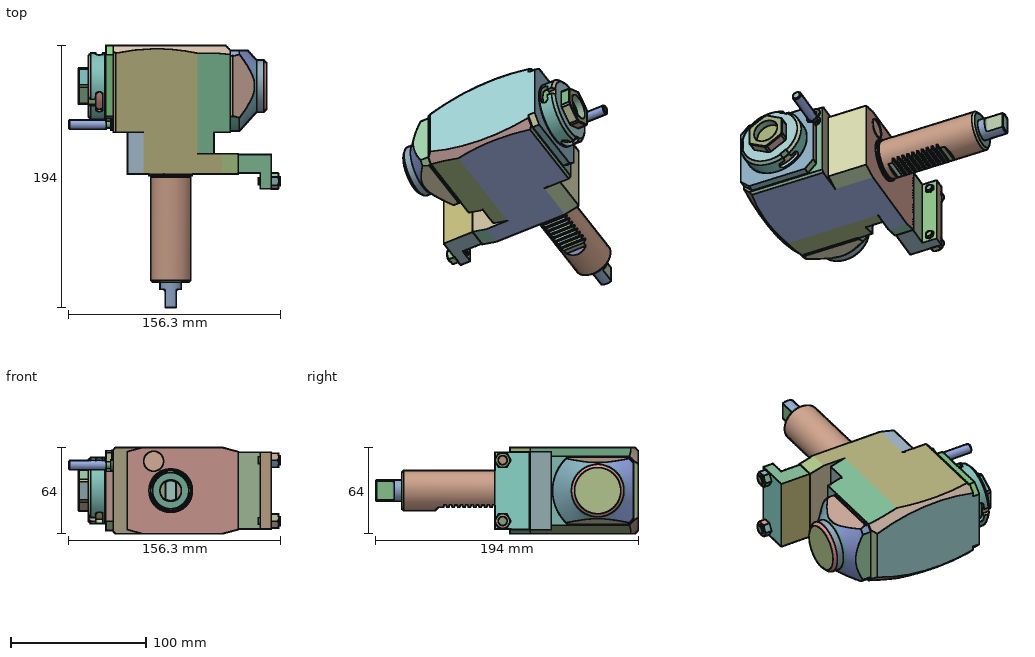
import cadquery as cq
import math


HALF_HEIGHT = 32.0
BODY_LEFT = -42.5
BODY_RIGHT = 44.0
BODY_FRONT = 30.8
BODY_REAR = 95.0
LEFT_EDGE_CHAMFER = 1.7
RIGHT_REAR_CHAMFER = 3.5

NECK_HALF_WIDTH = 32.0
FLANGE_RIGHT = 49.9
FLANGE_DEPTH = 15.1
BEVEL_LENGTH = 11.8
BEVEL_ANGLE = 15.0
BEVEL_DROP = BEVEL_LENGTH * math.tan(math.radians(BEVEL_ANGLE))

SLOPE_START = 20.0
GROOVE_WIDTH = 1.7
GROOVE_DEPTH = 0.5

RELIEF_X = -10.5
RELIEF_AXIS_Z = 108.6
RELIEF_MIDDLE = 2.5

SPINDLE_Y = 65.0
CAP_RADIUS = 33.4
CAP_CONE_START = 50.8
CAP_CONE_END = 61.9
CAP_CONE_END_RADIUS = 21.0
CAP_NOSE_START = 63.5
CAP_REAR = 91.4
CAP_NOSE_RADIUS = 19.4
CAP_END = 71.0
CAP_END_CHAMFER = 2.3

PLATE_LEFT = -48.0
PLATE_FRONT = 35.7
PLATE_HALF_HEIGHT = 29.5
PLATE_CORNER = 6.8
NOTCH_RADIUS = 4.7
NOTCH_CORNER = 1.5

NUT_LEFT = -61.1
NUT_RADIUS = 24.6
NUT_CHAMFER = 2.1
NUT_BACK_CHAMFER = 0.8
NUT_SLOT_COUNT = 3
NUT_SLOT_WIDTH = 5.6
NUT_SLOT_DEPTH = 3.0
NUT_POCKET_X = -52.8
NUT_POCKET_WIDTH = 5.5
NUT_POCKET_DEPTH = 3.3
NUT_POCKET_LENGTH = 16.9
HEX_LEFT = -68.3
HEX_ACROSS_FLATS = 27.2
HEX_CORNER_RADIUS = 15.1
HEX_CHAMFER = 0.5
BORE_RADIUS = 9.5
BORE_DEPTH = 5.8

PIN_Y = 36.5
PIN_Z = 18.8
PIN_LEFT = -75.3
PIN_RADIUS = 3.5
PIN_CHAMFER = 0.8
PIN_NECK_START = -47.7
PIN_NECK_RADIUS = 2.5
PIN_COLLAR_RADIUS = 4.0
PIN_COLLAR_LENGTH = 2.0
PLUG_Z = 26.0
PLUG_RADIUS = 3.9
PLUG_HEIGHT = 1.2
PLUG_HOLE_RADIUS = 1.5

COLLAR_RADIUS = 16.1
COLLAR_LENGTH = 1.4
SHANK_RADIUS = 15.0
SHANK_LENGTH = 80.0
SHANK_CHAMFER = 1.5
UNDERCUT_RADIUS = 14.5
UNDERCUT_LENGTH = 1.0
TANG_RADIUS = 8.0
TANG_SHOULDER = 85.4
TANG_END = 99.0
TANG_THICKNESS = 8.3
TANG_CHAMFER = 0.5
TANG_FILLET = 1.2

RACK_START = 7.0
RACK_END = 52.8
RACK_RUNOUT = 2.5
TOOTH_TIP = 12.5
TOOTH_ROOT = 10.5
FIRST_GAP = 11.8
GAP_COUNT = 10
GAP_SPAN = 35.9
TOOTH_PITCH = GAP_SPAN / (GAP_COUNT - 1)
GAP_ROOT_WIDTH = 1.2
GAP_TOP_WIDTH = 2.7

ARM_HALF_HEIGHT = 28.5
ARM_RIGHT = 74.5
ARM_FRONT = 0.5
ARM_REAR = 14.5
LUG_LEFT = 66.2
LUG_FRONT = -11.0
SCREW_Y = -5.2
SCREW_Z = 22.5
SCREW_RADIUS = 3.3
SCREW_LEFT = 64.8
SCREW_RIGHT = 81.0
SCREW_TIP_RADIUS = 2.5
SCREW_RECESS_DEPTH = 1.0
SCREW_NUT_FLATS = 10.5
SCREW_NUT_THICKNESS = 5.2
SCREW_NUT_RADIUS = 6.0
SCREW_NUT_CHAMFER = 0.5

RECESS_X = -12.6
RECESS_Z = 21.7
RECESS_RADIUS = 7.4
RECESS_DEPTH = 0.8

FAR = 194.0


def block(x_range, y_range, z_range):
    """Box between pairs of limits."""
    (x0, x1), (y0, y1), (z0, z1) = x_range, y_range, z_range
    box = cq.Workplane("XY").box(x1 - x0, y1 - y0, z1 - z0, centered=False)
    return box.translate((x0, y0, z0))


def across_x(x, y=0, z=0):
    """Workplane facing +X, with local axes along Y and Z."""
    return cq.Workplane("YZ", origin=(x, y, z))


def rod_x(x0, x1, radius, y, z):
    """Cylinder along X."""
    return across_x(x0, y, z).circle(radius).extrude(x1 - x0)


def rod_y(depth0, depth1, radius, x=0, z=0):
    """Cylinder along -Y between two depths in front of the flange face."""
    return cq.Workplane("XZ", origin=(x, -depth0, z)).circle(radius).extrude(depth1 - depth0)


def mirrored_pair(solid):
    """A solid together with its mirror image across Z = 0."""
    return solid.union(solid.mirror("XY"))


def slope_z(x):
    """Height of the sloped top face at a given X."""
    return HALF_HEIGHT - (x - SLOPE_START) * math.tan(math.radians(BEVEL_ANGLE))


def slope_cut():
    """Wedges above and below the sloped faces, with a shallow groove next to the cap."""
    wedge = (
        cq.Workplane("XZ", origin=(0, BODY_REAR, 0))
        .polyline([
            (SLOPE_START, HALF_HEIGHT),
            (BODY_RIGHT, slope_z(BODY_RIGHT)),
            (BODY_RIGHT, slope_z(BODY_RIGHT) - GROOVE_DEPTH),
            (BODY_RIGHT + GROOVE_WIDTH, slope_z(BODY_RIGHT + GROOVE_WIDTH) - GROOVE_DEPTH),
            (BODY_RIGHT + GROOVE_WIDTH, slope_z(BODY_RIGHT + GROOVE_WIDTH)),
            (CAP_CONE_END, slope_z(CAP_CONE_END)),
            (CAP_CONE_END, 2 * HALF_HEIGHT),
            (SLOPE_START, 2 * HALF_HEIGHT),
        ])
        .close()
        .extrude(BODY_REAR - FLANGE_DEPTH)
    )
    return mirrored_pair(wedge)


def rear_relief():
    """45 degree cone whose outside is removed from the upper rear edge."""
    rear_radius = RELIEF_AXIS_Z + HALF_HEIGHT - RELIEF_MIDDLE
    front_radius = rear_radius + BODY_REAR
    cone = cq.Workplane("XY").polyline(
        [(0, 0), (front_radius, 0), (rear_radius, BODY_REAR), (0, BODY_REAR)]
    ).close().revolve(360, (0, 0), (0, 1))
    return cone.translate((RELIEF_X, 0, -RELIEF_AXIS_Z))


def housing():
    body = block((BODY_LEFT, BODY_RIGHT), (BODY_FRONT, BODY_REAR), (-HALF_HEIGHT, HALF_HEIGHT))
    body = body.faces("<X").edges("|Y").chamfer(LEFT_EDGE_CHAMFER)
    body = body.edges("|Z and >X and >Y").chamfer(RIGHT_REAR_CHAMFER)
    cone = rear_relief()
    return body.intersect(cone).intersect(cone.mirror("XY"))


def bevelled_prism(right, depth, bevel_right):
    """Prism behind the flange face with bevelled left corners and optional right ones."""
    low = HALF_HEIGHT - BEVEL_DROP
    upper = [(-NECK_HALF_WIDTH, low), (-NECK_HALF_WIDTH + BEVEL_LENGTH, HALF_HEIGHT)]
    if bevel_right:
        upper += [(right - BEVEL_LENGTH, HALF_HEIGHT), (right, low)]
    else:
        upper += [(right, HALF_HEIGHT)]
    lower = [(x, -z) for x, z in reversed(upper)]
    return cq.Workplane("XZ").polyline(upper + lower).close().extrude(-depth)


def spindle_cap():
    profile = [
        (BODY_RIGHT, 0),
        (BODY_RIGHT, CAP_RADIUS),
        (CAP_CONE_START, CAP_RADIUS),
        (CAP_CONE_END, CAP_CONE_END_RADIUS),
        (CAP_NOSE_START, CAP_NOSE_RADIUS),
        (CAP_END - CAP_END_CHAMFER, CAP_NOSE_RADIUS),
        (CAP_END, CAP_NOSE_RADIUS - CAP_END_CHAMFER),
        (CAP_END, 0),
    ]
    cap = cq.Workplane("XY").polyline(profile).close().revolve(360, (0, 0), (1, 0))
    cap = cap.translate((0, SPINDLE_Y, 0))
    return cap.cut(block((BODY_RIGHT, FAR), (CAP_REAR, FAR), (-FAR, FAR)))


def left_plate():
    """Plate with three cut corners; the fourth holds a round-ended notch for the pin."""
    half = PLATE_HALF_HEIGHT
    notch_wall = PIN_Y + NOTCH_RADIUS
    outline = [
        (PLATE_FRONT, PLATE_CORNER - half),
        (PLATE_FRONT + PLATE_CORNER, -half),
        (BODY_REAR - PLATE_CORNER, -half),
        (BODY_REAR, PLATE_CORNER - half),
        (BODY_REAR, half - PLATE_CORNER),
        (BODY_REAR - PLATE_CORNER, half),
        (notch_wall + NOTCH_CORNER, half),
        (notch_wall, half - NOTCH_CORNER),
        (notch_wall, PIN_Z),
        (PLATE_FRONT, PIN_Z),
    ]
    plate = across_x(PLATE_LEFT).polyline(outline).close().extrude(BODY_LEFT - PLATE_LEFT)
    return plate.cut(rod_x(PLATE_LEFT, BODY_LEFT, NOTCH_RADIUS, PIN_Y, PIN_Z))


def nut_pocket():
    """Round-ended pocket in the rim of the nut, centred on the +Y side, with a cylindrical floor."""
    pocket = (
        cq.Workplane("XZ", origin=(NUT_POCKET_X, 0, 0))
        .slot2D(NUT_POCKET_LENGTH, NUT_POCKET_WIDTH, 90)
        .extrude(-2 * NUT_RADIUS)
    )
    return pocket.cut(rod_x(NUT_LEFT, PLATE_LEFT, NUT_RADIUS - NUT_POCKET_DEPTH, 0, 0))


def clamping_nut():
    nut = rod_x(NUT_LEFT, PLATE_LEFT, NUT_RADIUS, 0, 0).faces("<X").chamfer(NUT_CHAMFER)
    nut = nut.faces(">X").chamfer(NUT_BACK_CHAMFER)
    slot_floor = NUT_RADIUS - NUT_SLOT_DEPTH
    slot = block(
        (NUT_LEFT, NUT_POCKET_X),
        (slot_floor, 2 * NUT_RADIUS),
        (-NUT_SLOT_WIDTH / 2, NUT_SLOT_WIDTH / 2),
    )
    cutter = slot.union(nut_pocket())
    for index in range(NUT_SLOT_COUNT):
        nut = nut.cut(cutter.rotate((0, 0, 0), (1, 0, 0), index * 360 / NUT_SLOT_COUNT))

    hexagon = hex_prism(HEX_LEFT, NUT_LEFT, HEX_ACROSS_FLATS, 90)
    corner_limit = rod_x(HEX_LEFT, NUT_LEFT, HEX_CORNER_RADIUS, 0, 0)
    hexagon = hexagon.intersect(corner_limit).faces("<X").chamfer(HEX_CHAMFER)
    nut = nut.union(hexagon)
    nut = nut.cut(rod_x(HEX_LEFT, HEX_LEFT + BORE_DEPTH, BORE_RADIUS, 0, 0))
    return nut.translate((0, SPINDLE_Y, 0))


def hex_prism(x0, x1, across_flats, turn):
    """Hexagonal prism along X; a turn of 0 puts two corners on the Y axis."""
    corner_diameter = across_flats / math.cos(math.pi / 6)
    prism = across_x(x0).polygon(6, corner_diameter).extrude(x1 - x0)
    return prism.rotate((0, 0, 0), (1, 0, 0), turn)


def coolant_pin():
    pin = rod_x(PIN_LEFT, PIN_NECK_START, PIN_RADIUS, PIN_Y, PIN_Z)
    pin = pin.faces("<X").chamfer(PIN_CHAMFER)
    neck = rod_x(PIN_NECK_START, BODY_LEFT, PIN_NECK_RADIUS, PIN_Y, PIN_Z)
    collar = rod_x(BODY_LEFT - PIN_COLLAR_LENGTH, BODY_LEFT, PIN_COLLAR_RADIUS, PIN_Y, PIN_Z)
    return pin.union(neck).union(collar)


def notch_plug():
    left = BODY_LEFT - PLUG_HEIGHT
    plug = rod_x(left, BODY_LEFT, PLUG_RADIUS, PIN_Y, PLUG_Z)
    return plug.cut(rod_x(left, BODY_LEFT, PLUG_HOLE_RADIUS, PIN_Y, PLUG_Z))


def rack_cut():
    """Flat with rack tooth gaps along the underside of the shank."""
    below = 2 * SHANK_RADIUS
    flat = [(-RACK_START, -TOOTH_TIP), (-RACK_START, -below)]
    runout_end = RACK_END + RACK_RUNOUT
    flat += [(-runout_end, -below), (-runout_end, -SHANK_RADIUS), (-RACK_END, -TOOTH_TIP)]
    width = 2 * SHANK_RADIUS
    cutter = across_x(-SHANK_RADIUS).polyline(flat).close().extrude(width)
    for index in range(GAP_COUNT):
        middle = -FIRST_GAP - index * TOOTH_PITCH
        gap = [
            (middle - GAP_TOP_WIDTH / 2, -TOOTH_TIP),
            (middle - GAP_ROOT_WIDTH / 2, -TOOTH_ROOT),
            (middle + GAP_ROOT_WIDTH / 2, -TOOTH_ROOT),
            (middle + GAP_TOP_WIDTH / 2, -TOOTH_TIP),
        ]
        cutter = cutter.union(across_x(-SHANK_RADIUS).polyline(gap).close().extrude(width))
    return cutter


def shank():
    undercut_end = COLLAR_LENGTH + UNDERCUT_LENGTH
    stem = rod_y(undercut_end, SHANK_LENGTH, SHANK_RADIUS).faces("<Y").chamfer(SHANK_CHAMFER)
    stem = stem.cut(rack_cut())
    collar = rod_y(0, COLLAR_LENGTH, COLLAR_RADIUS)
    undercut = rod_y(COLLAR_LENGTH, undercut_end, UNDERCUT_RADIUS)
    return stem.union(collar).union(undercut).union(drive_tang())


def drive_tang():
    tang = rod_y(SHANK_LENGTH, TANG_END, TANG_RADIUS)
    blade_span = (-TANG_END, -TANG_SHOULDER)
    side_cut = block((TANG_THICKNESS / 2, FAR), blade_span, (-FAR, FAR))
    side_cut = side_cut.edges("|Z and <X and >Y").fillet(TANG_FILLET)
    tang = tang.cut(side_cut).cut(side_cut.mirror("YZ"))
    return tang.faces("<Y").chamfer(TANG_CHAMFER)


def screw_arm():
    z_range = (-ARM_HALF_HEIGHT, ARM_HALF_HEIGHT)
    arm = block((FLANGE_RIGHT, ARM_RIGHT), (ARM_FRONT, ARM_REAR), z_range)
    arm = arm.union(block((LUG_LEFT, ARM_RIGHT), (LUG_FRONT, ARM_REAR), z_range))
    recess_end = LUG_LEFT + SCREW_RECESS_DEPTH
    clearance = rod_x(LUG_LEFT, recess_end, SCREW_RADIUS, SCREW_Y, SCREW_Z)
    arm = arm.cut(mirrored_pair(clearance))
    tip = rod_x(SCREW_LEFT, recess_end, SCREW_TIP_RADIUS, 0, 0)
    screw = rod_x(recess_end, SCREW_RIGHT, SCREW_RADIUS, 0, 0).union(tip)
    nut_right = ARM_RIGHT + SCREW_NUT_THICKNESS
    corner_limit = rod_x(ARM_RIGHT, nut_right, SCREW_NUT_RADIUS, 0, 0)
    corner_limit = corner_limit.faces(">X").chamfer(SCREW_NUT_CHAMFER)
    nut = hex_prism(ARM_RIGHT, nut_right, SCREW_NUT_FLATS, 0).intersect(corner_limit)
    screw = screw.union(nut).translate((0, SCREW_Y, SCREW_Z))
    return arm.union(mirrored_pair(screw))


neck = bevelled_prism(NECK_HALF_WIDTH, BODY_FRONT, bevel_right=False)
flange = bevelled_prism(FLANGE_RIGHT, FLANGE_DEPTH, bevel_right=True)
recess = rod_y(-RECESS_DEPTH, 0, RECESS_RADIUS, RECESS_X, RECESS_Z)

result = housing().union(neck).union(spindle_cap()).cut(slope_cut())
result = result.union(flange).cut(recess)
for feature in (left_plate(), clamping_nut(), coolant_pin(), notch_plug(), shank(), screw_arm()):
    result = result.union(feature)